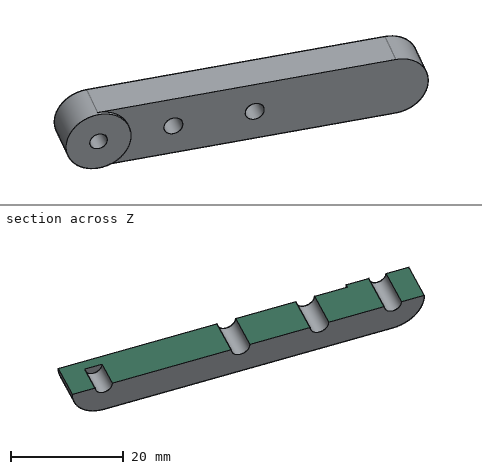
import cadquery as cq

length = 67.0
height = 12.0
overall_thickness = 7.6
pad_thickness = 0.6
bar_thickness = overall_thickness - pad_thickness
end_radius = height / 2
end_center_y = length / 2 - end_radius

end_hole_diameter = 3.2
middle_hole_diameter = 3.5
middle_hole_positions = (-13.55, 1.5)
blind_hole_depth = 5.0


def disc(y, diameter, start_x, thickness):
    """Cylinder along +X, centred on the bar's centre line at y."""
    return (
        cq.Workplane("YZ", origin=(start_x, y, 0))
        .circle(diameter / 2)
        .extrude(thickness)
    )


bar = cq.Workplane("YZ").slot2D(length, height).extrude(overall_thickness)

pad = disc(-end_center_y, height, bar_thickness, pad_thickness)
relief = (
    cq.Workplane("YZ", origin=(bar_thickness, -end_center_y, 0))
    .rect(length, height, centered=(False, True))
    .extrude(pad_thickness)
    .cut(pad)
)
result = bar.cut(relief)

result = result.cut(disc(-end_center_y, end_hole_diameter, 0, overall_thickness))
for hole_y in middle_hole_positions:
    result = result.cut(disc(hole_y, middle_hole_diameter, 0, bar_thickness))

result = result.cut(disc(end_center_y, end_hole_diameter, 0, blind_hole_depth))